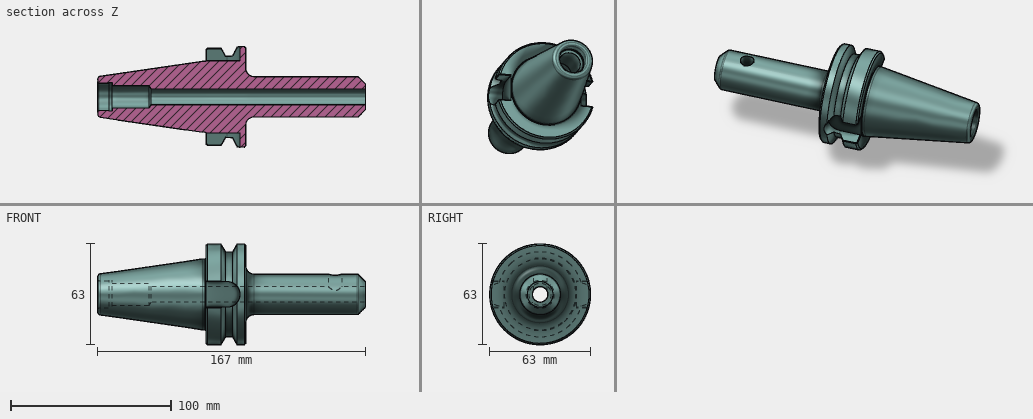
import cadquery as cq
import math

taper_length = 65.4
flange_front = 2.0
flange_back = 27.0
shank_end = 101.6

gauge_radius = 44.45 / 2
taper_ratio = 7 / 24
nose_radius = gauge_radius - taper_length * taper_ratio / 2
nose_round = 2.0

flange_radius = 63.0 / 2
flange_chamfer = 1.0
flange_root_round = 0.5
groove_center = 16.5
groove_floor_width = 4.4
groove_floor_radius = 53.2 / 2
groove_flank_angle = math.radians(30)
groove_half_floor = groove_floor_width / 2
groove_flank_length = (flange_radius - groove_floor_radius) * math.tan(groove_flank_angle)
groove_half_mouth = groove_half_floor + groove_flank_length
front_ring_end = groove_center - groove_half_mouth

slot_width = 16.0
slot_end = 23.3
slot_floor = 22.6
slot_edge_chamfer = 0.5

shank_radius = 25.4 / 2
shank_root_fillet = 5.0
shank_tip_radius = 8.0
shank_edge_round = 1.4

through_radius = 9.53 / 2
thread_radius = 13.84 / 2
pilot_radius = 17.0 / 2
relief_radius = 17.5 / 2
mouth_radius = 18.8 / 2
pilot_depth = 7.0
relief_depth = 9.0
thread_depth = 32.0
drill_point_half_angle = math.radians(59)

cross_hole_radius = 8.38 / 2
cross_hole_x = 82.6

cut_overshoot = 1.0
pick_slack = 0.01


def make_body():
    """Taper, flange and shank turned as one solid about the X axis."""
    edge_radius = flange_radius - flange_chamfer
    fillet_center_radius = shank_radius + shank_root_fillet
    fillet_end_x = flange_back + shank_root_fillet
    fillet_offset = shank_root_fillet * math.sqrt(0.5)
    tip_chamfer = shank_radius - shank_tip_radius

    profile = (
        cq.Workplane("XY")
        .moveTo(-taper_length, 0)
        .lineTo(-taper_length, nose_radius)
        .lineTo(0, gauge_radius)
        .lineTo(flange_front, gauge_radius)
        .lineTo(flange_front, edge_radius)
        .lineTo(flange_front + flange_chamfer, flange_radius)
        .lineTo(front_ring_end, flange_radius)
        .lineTo(groove_center - groove_half_floor, groove_floor_radius)
        .lineTo(groove_center + groove_half_floor, groove_floor_radius)
        .lineTo(groove_center + groove_half_mouth, flange_radius)
        .lineTo(flange_back - flange_chamfer, flange_radius)
        .lineTo(flange_back, edge_radius)
        .lineTo(flange_back, fillet_center_radius)
        .threePointArc(
            (fillet_end_x - fillet_offset, fillet_center_radius - fillet_offset),
            (fillet_end_x, shank_radius),
        )
        .lineTo(shank_end - tip_chamfer, shank_radius)
        .lineTo(shank_end, shank_tip_radius)
        .lineTo(shank_end, 0)
        .close()
    )
    body = profile.revolve(360, (0, 0, 0), (1, 0, 0))
    body = round_rim(body, -taper_length, nose_radius, nose_round)
    body = round_rim(body, flange_front, gauge_radius, flange_root_round)
    return round_rim(body, shank_end - tip_chamfer, shank_radius, shank_edge_round)


def round_rim(body, x, rim_radius, round_radius):
    """Round the circular edge of the given radius that lies in the plane at x."""
    reach = rim_radius + pick_slack
    rim = cq.selectors.BoxSelector(
        (x - pick_slack, -reach, -reach),
        (x + pick_slack, reach, reach),
        boundingbox=True,
    )
    return body.edges(rim).fillet(round_radius)


def make_drive_slot(side):
    """Round-ended slot, open at the flange front, on the side of Y given by side = -1 or +1."""
    half_width = slot_width / 2
    round_center_x = slot_end - half_width
    return (
        cq.Workplane("XZ", origin=(0, side * slot_floor, 0))
        .moveTo(0, -half_width)
        .lineTo(round_center_x, -half_width)
        .threePointArc((slot_end, 0), (round_center_x, half_width))
        .lineTo(0, half_width)
        .close()
        .extrude(-side * (flange_radius - slot_floor + cut_overshoot))
    )


def make_bore():
    """Stepped bore along X: rounded mouth, pilot, relief, thread core with drill point, through hole."""
    mouth_x = -taper_length
    pilot_end = mouth_x + pilot_depth
    thread_end = mouth_x + thread_depth
    relief_end = mouth_x + relief_depth
    mouth_round = mouth_radius - pilot_radius
    round_offset = mouth_round * math.sqrt(0.5)
    drill_point_length = (thread_radius - through_radius) / math.tan(drill_point_half_angle)
    return (
        cq.Workplane("XY")
        .moveTo(mouth_x, 0)
        .lineTo(mouth_x, mouth_radius)
        .threePointArc(
            (mouth_x + mouth_round - round_offset, mouth_radius - round_offset),
            (mouth_x + mouth_round, pilot_radius),
        )
        .lineTo(pilot_end, pilot_radius)
        .lineTo(pilot_end, relief_radius)
        .lineTo(relief_end, relief_radius)
        .lineTo(relief_end, thread_radius)
        .lineTo(thread_end, thread_radius)
        .lineTo(thread_end + drill_point_length, through_radius)
        .lineTo(shank_end, through_radius)
        .lineTo(shank_end, 0)
        .close()
        .revolve(360, (0, 0, 0), (1, 0, 0))
    )


def make_cross_hole():
    """Radial hole running from the bore axis up through the top of the shank."""
    return (
        cq.Workplane("XY")
        .center(cross_hole_x, 0)
        .circle(cross_hole_radius)
        .extrude(shank_radius + cut_overshoot)
    )


def chamfer_slot_wall(part, side, wall_z):
    """Chamfer the outer edges of one slot wall where it crosses the front ring of the flange."""
    inner_y = side * (slot_floor + pick_slack)
    outer_y = side * (flange_radius + pick_slack)
    wall_edges = cq.selectors.BoxSelector(
        (flange_front - pick_slack, inner_y, wall_z - pick_slack),
        (front_ring_end + pick_slack, outer_y, wall_z + pick_slack),
    )
    return part.edges(wall_edges).chamfer(slot_edge_chamfer)


result = make_body()
for side in (-1, 1):
    result = result.cut(make_drive_slot(side))
    for wall_z in (-slot_width / 2, slot_width / 2):
        result = chamfer_slot_wall(result, side, wall_z)
result = result.cut(make_bore())
result = result.cut(make_cross_hole())